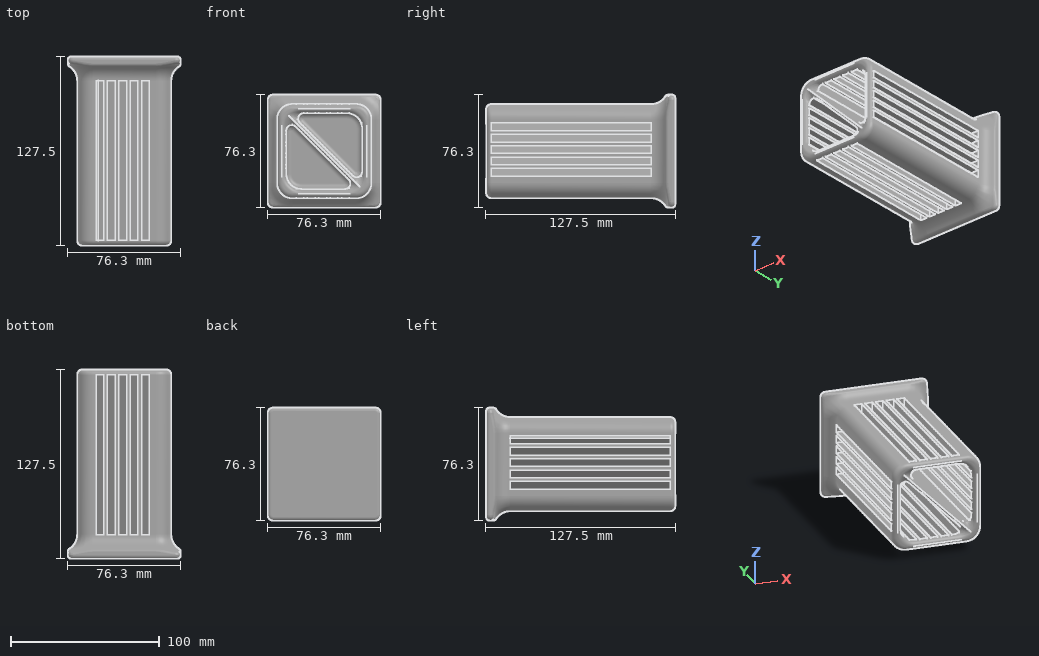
import cadquery as cq
import math

LENGTH = 127.5
FLANGE_WIDTH = 76.3
FLANGE_THICKNESS = 5.1
FLANGE_CORNER = 3.8
FLANGE_EDGE = 2.5
FLARE_RADIUS = 11.2

BODY_WIDTH = 63.5
BODY_CORNER = 10.3
WALL = 6.2
CAVITY_CORNER = 10.2
ROUND = 3.7

RIB_THICKNESS = 3.8
RIB_ANGLE = 45.0

SLOT_COUNT = 5
SLOT_WIDTH = 5.2
SLOT_PITCH = 7.7
SLOT_DEPTH = 10.2
SLOT_OFFSET = 1.0

HELPER_WIDTH = 2 * FLANGE_WIDTH
HELPER_DEPTH = 12.8
PICK_TOLERANCE = 0.1

flange_start = LENGTH - FLANGE_THICKNESS
flare_start = flange_start - FLARE_RADIUS
floor_position = flare_start + ROUND
body_half = BODY_WIDTH / 2
cavity_half = body_half - WALL


def section(y):
    """Workplane across the tube at y, with local axes X and Z."""
    return cq.Workplane("XZ", origin=(0, y, 0))


def square_bar(width, start, end, corner):
    """Square bar from y = start to y = end with rounded lengthwise edges."""
    return section(start).rect(width, width).extrude(start - end).edges("|Y").fillet(corner)


def edges_at(y):
    """Selector for the edges lying across the tube at y."""
    reach = body_half + PICK_TOLERANCE
    return cq.selectors.BoxSelector(
        (-reach, y - PICK_TOLERANCE, -reach),
        (reach, y + PICK_TOLERANCE, reach),
    )


def outer_shape():
    """Solid tube flowing through a concave flare into the flange."""
    body = square_bar(BODY_WIDTH, 0, LENGTH, BODY_CORNER).faces("<Y").edges().fillet(ROUND)

    plate = section(flange_start).rect(HELPER_WIDTH, HELPER_WIDTH).extrude(-FLANGE_THICKNESS)
    flared = body.union(plate).edges(edges_at(flange_start)).fillet(FLARE_RADIUS)
    flared = flared.intersect(square_bar(FLANGE_WIDTH, 0, LENGTH, FLANGE_CORNER))

    return flared.faces("<X or >X or <Z or >Z").edges("not |Y").fillet(FLANGE_EDGE)


def cavity():
    """Cutter for the whole cavity, opening through a rounded mouth into a block before y = 0."""
    bar = square_bar(2 * cavity_half, 0, floor_position, CAVITY_CORNER)
    block = section(0).rect(HELPER_WIDTH, HELPER_WIDTH).extrude(HELPER_DEPTH)
    return bar.union(block).edges(edges_at(0)).fillet(ROUND)


def rib_side():
    """Space on the +X, +Z side of the rib; the rib's front end is rounded to a central ridge."""
    half_rib = RIB_THICKNESS / 2
    ridge = ROUND - math.sqrt(ROUND**2 - (ROUND - half_rib) ** 2)
    return (
        cq.Workplane("XY")
        .moveTo(half_rib, floor_position)
        .lineTo(half_rib, ROUND)
        .radiusArc((0, ridge), ROUND)
        .lineTo(0, -HELPER_DEPTH)
        .lineTo(HELPER_WIDTH, -HELPER_DEPTH)
        .lineTo(HELPER_WIDTH, floor_position)
        .close()
        .extrude(HELPER_WIDTH, both=True)
        .rotate((0, 0, 0), (0, 1, 0), -RIB_ANGLE)
    )


def rib_corner(side):
    """Selector for the lengthwise edge where the rib meets the wall, at +X or -X."""
    near = cavity_half - CAVITY_CORNER / 2
    return cq.selectors.BoxSelector(
        (side * near, 0, -side * near),
        (side * cavity_half, floor_position, -side * cavity_half),
    )


def pocket():
    """Cutter for the pocket on the +X, +Z side of the rib."""
    cutter = cavity().intersect(rib_side())

    sharp_corners = cq.selectors.SumSelector(rib_corner(1), rib_corner(-1))
    cutter = cutter.edges("|Y").edges(sharp_corners).fillet(ROUND)
    return cutter.faces(">Y").edges().fillet(ROUND)


def slots():
    """Cutter for the slot rows, which lie opposite each other in facing walls."""
    length = flare_start - ROUND
    middle = ROUND + length / 2
    side_slot = cq.Workplane("XY").box(SLOT_DEPTH, length, SLOT_WIDTH)
    top_slot = cq.Workplane("XY").box(SLOT_WIDTH, length, SLOT_DEPTH)
    cutter = cq.Workplane("XY")
    for index in range(SLOT_COUNT):
        along = (index - (SLOT_COUNT - 1) / 2) * SLOT_PITCH + SLOT_OFFSET
        for side in (-1, 1):
            across = side * (body_half - SLOT_DEPTH / 2)
            cutter = cutter.add(side_slot.translate((across, middle, along)))
            cutter = cutter.add(top_slot.translate((-along, middle, across)))
    return cutter.combine()


upper_pocket = pocket()
lower_pocket = upper_pocket.rotate((0, 0, 0), (0, 1, 0), 180)
result = outer_shape().cut(upper_pocket).cut(lower_pocket).cut(slots())